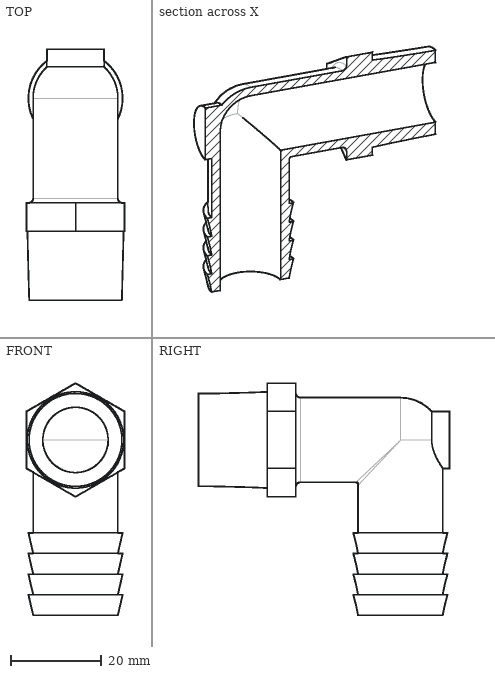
import cadquery as cq
import math

pipe_radius = 9.4
bore_radius = 7.25
total_length = 55.7
boss_radius = 6.35
boss_end = 10.9
inner_corner_radius = 0.55
corner_margin = 0.05

hex_flats = 21.8
hex_start = 23.15
hex_width = 6.35
hex_end = hex_start + hex_width
hex_fillet = 1.0

spigot_end = total_length - boss_end
spigot_root_radius = 10.7
spigot_tip_radius = 10.3

barb_count = 4
barb_pitch = 4.55
barb_radius = 10.45
hose_end = 38.85
barbs_start = hose_end - barb_count * barb_pitch

arm_plane = cq.Workplane("XZ")


def rounded_elbow():
    """Two mitred pipes closed by a ball, with a softened inner corner."""
    arm = arm_plane.circle(pipe_radius).extrude(hex_start)
    leg = cq.Workplane("XY").circle(pipe_radius).extrude(-hose_end)
    ball = cq.Workplane("XY").sphere(pipe_radius)
    reach = pipe_radius + corner_margin
    inner_corner = cq.selectors.BoxSelector(
        (-reach, -reach, -reach),
        (reach, corner_margin, corner_margin),
    )
    pipes = arm.union(leg)
    pipes = pipes.edges(inner_corner).edges("%ELLIPSE").fillet(inner_corner_radius)
    return pipes.union(ball)


def hexagon_collar():
    """Hexagon with corners up and down, flared into the pipe behind it."""
    hex_corners = hex_flats / math.cos(math.pi / 6)
    collar = (
        arm_plane.workplane(offset=hex_start)
        .transformed(rotate=(0, 0, 90))
        .polygon(6, hex_corners)
        .extrude(hex_width)
    )
    flare_start = hex_start - hex_fillet
    flare_radius = pipe_radius + hex_fillet
    flare = (
        cq.Workplane("XY")
        .moveTo(0, -flare_start)
        .lineTo(pipe_radius, -flare_start)
        .radiusArc((flare_radius, -hex_start), -hex_fillet)
        .lineTo(0, -hex_start)
        .close()
        .revolve(360, (0, 0, 0), (0, 1, 0))
    )
    return collar.union(flare)


def tapered_spigot():
    """Tapered threaded end, modelled without its thread."""
    return (
        arm_plane.workplane(offset=hex_end)
        .circle(spigot_root_radius)
        .workplane(offset=spigot_end - hex_end)
        .circle(spigot_tip_radius)
        .loft()
    )


def hose_barb(top):
    """One barb, widest at its top and narrowing to the pipe below."""
    return (
        cq.Workplane("XY", origin=(0, 0, top))
        .circle(barb_radius)
        .workplane(offset=-barb_pitch)
        .circle(pipe_radius)
        .loft()
    )


def bore():
    """Passage through both ends, rounded where the two bores meet."""
    arm_bore = arm_plane.circle(bore_radius).extrude(spigot_end)
    leg_bore = cq.Workplane("XY").circle(bore_radius).extrude(-hose_end)
    return arm_bore.union(leg_bore).union(cq.Workplane("XY").sphere(bore_radius))


body = rounded_elbow().union(hexagon_collar()).union(tapered_spigot())
for index in range(barb_count):
    body = body.union(hose_barb(-barbs_start - index * barb_pitch))

body = body.union(arm_plane.circle(boss_radius).extrude(-boss_end))

result = body.cut(bore())